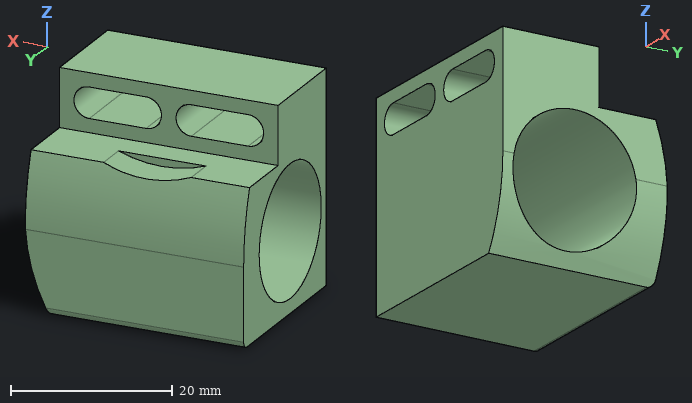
import cadquery as cq
import math

width = 30.0
depth = 24.0
height = 29.0

wall_thickness = 14.0
ledge_height = 21.0

bore_radius = 9.0
bore_y = 10.5
bore_z = 11.0

back_radius = 30.0
back_tangent_z = bore_z
base_fillet = 1.0
side_radius = 25.0
side_tangent_z = side_radius / 2

slot_length = 12.0
slot_height = 4.2
slot_spacing = 14.0
slot_z = 25.0

groove_width = 12.0
groove_depth = 1.08
groove_x = 14.0
groove_start_y = 18.0


def arc_inset(radius, rise):
    """Distance an arc falls away from its tangent line after the given rise."""
    return radius - math.sqrt(radius**2 - rise**2)


def make_body():
    """Stepped profile with a curved back, extruded across the width."""
    rise = ledge_height - back_tangent_z
    top_y = depth - arc_inset(back_radius, rise)
    middle_y = depth - arc_inset(back_radius, rise / 2)
    profile = (
        cq.Workplane("YZ")
        .lineTo(depth, 0)
        .lineTo(depth, back_tangent_z)
        .threePointArc((middle_y, back_tangent_z + rise / 2), (top_y, ledge_height))
        .lineTo(wall_thickness, ledge_height)
        .lineTo(wall_thickness, height)
        .lineTo(0, height)
        .close()
    )
    return profile.extrude(width).edges("|X and >Y and <Z").fillet(base_fillet)


def make_side_envelope():
    """Front outline with the lower +X corner rounded away."""
    bottom_x = width - arc_inset(side_radius, side_tangent_z)
    middle_x = width - arc_inset(side_radius, side_tangent_z / 2)
    outline = (
        cq.Workplane("XZ")
        .lineTo(bottom_x, 0)
        .threePointArc((middle_x, side_tangent_z / 2), (width, side_tangent_z))
        .lineTo(width, height)
        .lineTo(0, height)
        .close()
    )
    return outline.extrude(-depth)


def make_bore():
    return cq.Workplane("YZ").center(bore_y, bore_z).circle(bore_radius).extrude(width)


def make_slots():
    half_spacing = slot_spacing / 2
    return (
        cq.Workplane("XZ")
        .center(width / 2, slot_z)
        .pushPoints([(-half_spacing, 0), (half_spacing, 0)])
        .slot2D(slot_length, slot_height)
        .extrude(-wall_thickness)
    )


def make_groove():
    """Circular segment whose chord lies on the ledge."""
    half_width = groove_width / 2
    return (
        cq.Workplane("XZ", origin=(groove_x, groove_start_y, ledge_height))
        .moveTo(-half_width, 0)
        .threePointArc((0, -groove_depth), (half_width, 0))
        .close()
        .extrude(groove_start_y - depth)
    )


result = make_body().intersect(make_side_envelope())
result = result.cut(make_bore()).cut(make_slots()).cut(make_groove())